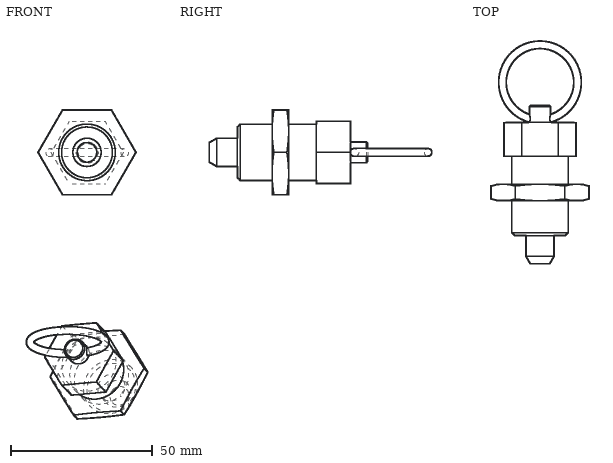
import cadquery as cq
import math

nose_length = 2.7
body_start = 10.0
nut_start = 22.3
nut_width = 5.8
collar_start = 37.9
collar_end = 50.0
button_end = 56.0
total_length = 78.7

pin_diameter = 10.0
nose_half_angle = 30.0
body_diameter = 20.0
body_chamfer = 1.0
nut_across_flats = 30.0
nut_chamfer_angle = 15.0
collar_across_flats = 22.0
collar_chamfer_angle = 5.0
button_diameter = 7.5
button_chamfer = 0.55
ring_outer_diameter = 29.3
wire_diameter = 2.75


def revolve_about_y(points):
    """Revolve a closed (radius, y) outline about the Y axis."""
    return cq.Workplane("XY").polyline(points).close().revolve(360, (0, 0, 0), (0, 1, 0))


def cylinder(diameter, start, end):
    radius = diameter / 2
    return revolve_about_y([(0, start), (radius, start), (radius, end), (0, end)])


def hexagon(across_flats, start, end, chamfer_angle, chamfer_front):
    """Hexagon with corners on the X axis and its corners coned off at the rear or both ends."""
    across_corners = across_flats / math.cos(math.pi / 6)
    prism = (
        cq.Workplane("XZ", origin=(0, start, 0))
        .polygon(6, across_corners)
        .extrude(start - end)
    )
    flat_radius = across_flats / 2
    corner_radius = across_corners / 2
    corner_drop = (corner_radius - flat_radius) * math.tan(math.radians(chamfer_angle))
    if chamfer_front:
        outline = [(0, start), (flat_radius, start), (corner_radius, start + corner_drop)]
    else:
        outline = [(0, start), (corner_radius, start)]
    outline += [(corner_radius, end - corner_drop), (flat_radius, end), (0, end)]
    return prism.intersect(revolve_about_y(outline))


pin_radius = pin_diameter / 2
tip_radius = pin_radius - nose_length * math.tan(math.radians(nose_half_angle))
pin = revolve_about_y(
    [(0, 0), (tip_radius, 0), (pin_radius, nose_length), (pin_radius, nut_start), (0, nut_start)]
)

body = cylinder(body_diameter, body_start, collar_end).faces("<Y").chamfer(body_chamfer)

nut = hexagon(nut_across_flats, nut_start, nut_start + nut_width, nut_chamfer_angle, True)
collar = hexagon(collar_across_flats, collar_start, collar_end, collar_chamfer_angle, False)

button = cylinder(button_diameter, collar_start, button_end).faces(">Y").chamfer(button_chamfer)

ring_radius = (ring_outer_diameter - wire_diameter) / 2
ring_center_y = total_length - ring_outer_diameter / 2
ring = cq.Workplane(
    cq.Solid.makeTorus(
        ring_radius, wire_diameter / 2, cq.Vector(0, ring_center_y, 0), cq.Vector(0, 0, 1)
    )
).rotate((0, ring_center_y, 0), (0, ring_center_y, 1), -90)

result = body.union(pin).union(nut).union(collar).union(button).union(ring)